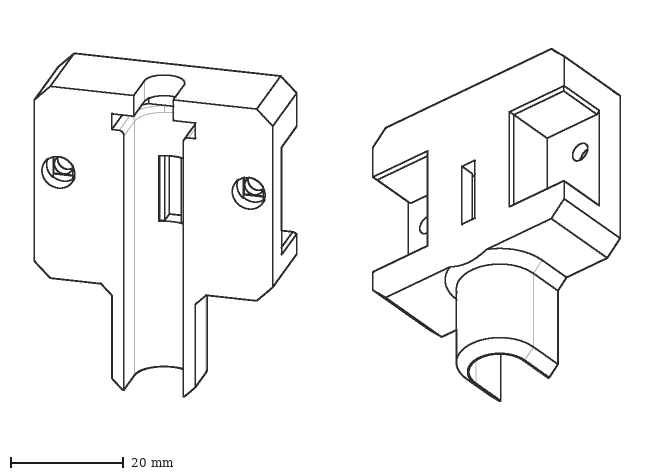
import cadquery as cq
block_width = 44.0
depth = 15.7
height = 57.0
block_bottom = 20.0
block_chamfer = 2.95

axis_y = 6.95
stem_radius = 7.7
stem_chamfer = 2.0
bore_radius = 5.5

slot_radius = 3.65
recess_top = 53.0
recess_bottom = 50.0
recess_flat_offset = 6.15
bore_lip_fillet = 0.9
selection_margin = 0.1

window_bottom = 28.05
window_height = 12.6
window_width = 2.95
window_step_width = 4.8
window_step_depth = 0.5

screw_x = 17.55
screw_z = 40.6
screw_diameter = 3.5
step_width = 3.65
counterbore_diameter = 6.05
counterbore_depth = 3.0
step_depth = 0.3

pocket_front = 5.8
pocket_bottom = 27.5
pocket_top = 47.0
pocket_inner_x = 10.0
pocket_chamfer = 0.55


def box_between(x0, x1, y0, y1, z0, z1):
    return cq.Workplane("XY").box(x1 - x0, y1 - y0, z1 - z0, centered=False).translate((x0, y0, z0))


def rounded_back(half_outline):
    """Sweep an outline in x >= 0: straight from the front to the axis, then half a turn behind it."""
    wire = half_outline.wires().val()
    half_front = cq.Workplane("XZ").add(wire).toPending().extrude(-axis_y)
    behind = (
        cq.Workplane("XZ", origin=(0, axis_y, 0))
        .add(wire.translate(cq.Vector(0, axis_y, 0)))
        .toPending()
        .revolve(180, (0, 0, 0), (0, 1, 0))
    )
    return half_front.union(half_front.mirror("YZ")).union(behind)


def channel(half_width, z0, z1):
    """Vertical U-shaped channel, round at the bore axis and straight out to the front face."""
    corners = [(0, z0), (half_width, z0), (half_width, z1), (0, z1)]
    return rounded_back(cq.Workplane("XZ").polyline(corners).close())


def make_block():
    block = box_between(-block_width / 2, block_width / 2, 0, depth, block_bottom, height)
    return block.edges("|Y").chamfer(block_chamfer)


def make_stem():
    """Stem with a chamfered end and a 45 degree flare into the block, trimmed to the back face."""
    flare_start = block_bottom - stem_chamfer
    half_outline = [
        (0, 0),
        (stem_radius - stem_chamfer, 0),
        (stem_radius, stem_chamfer),
        (stem_radius, flare_start),
        (stem_radius + stem_chamfer, block_bottom),
        (0, block_bottom),
    ]
    stem = rounded_back(cq.Workplane("XZ").polyline(half_outline).close())
    return stem.intersect(box_between(-block_width, block_width, 0, depth, 0, block_bottom))


def make_bore():
    """Bore, flange recess and top slot; the lip between bore and recess is rounded."""
    bore = channel(bore_radius, 0, recess_bottom)
    recess_back = axis_y + recess_flat_offset
    recess_limit = box_between(-stem_radius, stem_radius, 0, recess_back, recess_bottom, recess_top)
    recess = channel(stem_radius, recess_bottom, recess_top).intersect(recess_limit)
    lip_region = cq.selectors.BoxSelector(
        (-bore_radius - selection_margin, -selection_margin, recess_bottom - selection_margin),
        (
            bore_radius + selection_margin,
            axis_y + bore_radius + selection_margin,
            recess_bottom + selection_margin,
        ),
        boundingbox=True,
    )
    mouth = bore.union(recess).edges(lip_region).fillet(bore_lip_fillet)
    return mouth.union(channel(slot_radius, recess_top, height))


def make_window():
    window_top = window_bottom + window_height
    half_width = window_width / 2
    half_step = window_step_width / 2
    opening = box_between(-half_width, half_width, axis_y, depth, window_bottom, window_top)
    step_limit = box_between(-half_step, half_step, axis_y, depth, window_bottom, window_top)
    step = channel(bore_radius + window_step_depth, window_bottom, window_top).intersect(step_limit)
    return opening.union(step)


def make_screw_hole(x):
    def layer(start):
        return cq.Workplane("XZ", origin=(x, start, screw_z))

    slot_start = counterbore_depth
    square_start = slot_start + step_depth
    counterbore = layer(0).circle(counterbore_diameter / 2).extrude(-counterbore_depth)
    slot_limit = layer(slot_start).circle(counterbore_diameter / 2).extrude(-step_depth)
    slot = layer(slot_start).rect(step_width, counterbore_diameter).extrude(-step_depth)
    square = layer(square_start).rect(step_width, step_width).extrude(-step_depth)
    hole = layer(0).circle(screw_diameter / 2).extrude(-depth)
    return counterbore.union(slot.intersect(slot_limit)).union(square).union(hole)


def make_left_pocket():
    """Pocket with chamfered mouths on the left side and on the back."""
    side_x = -block_width / 2
    inner_x = -pocket_inner_x
    pocket = box_between(side_x, inner_x, pocket_front, depth, pocket_bottom, pocket_top)
    side_mouth = (
        cq.Workplane("XZ", origin=(0, pocket_front, 0))
        .moveTo(side_x, pocket_bottom - pocket_chamfer)
        .lineTo(side_x + pocket_chamfer, pocket_bottom)
        .lineTo(side_x + pocket_chamfer, pocket_top)
        .lineTo(side_x, pocket_top + pocket_chamfer)
        .close()
        .extrude(pocket_front - depth)
    )
    mouth_width = inner_x - side_x + 2 * pocket_chamfer
    mouth_height = pocket_top - pocket_bottom + 2 * pocket_chamfer
    mouth_center = ((side_x + inner_x) / 2, depth, (pocket_bottom + pocket_top) / 2)
    back_mouth = (
        cq.Workplane("XZ", origin=mouth_center)
        .rect(mouth_width, mouth_height)
        .extrude(pocket_chamfer, taper=45)
    )
    return pocket.union(side_mouth).union(back_mouth)


left_pocket = make_left_pocket()
result = (
    make_block()
    .union(make_stem())
    .cut(make_bore())
    .cut(make_window())
    .cut(left_pocket)
    .cut(left_pocket.mirror("YZ"))
)
for hole_x in (-screw_x, screw_x):
    result = result.cut(make_screw_hole(hole_x))